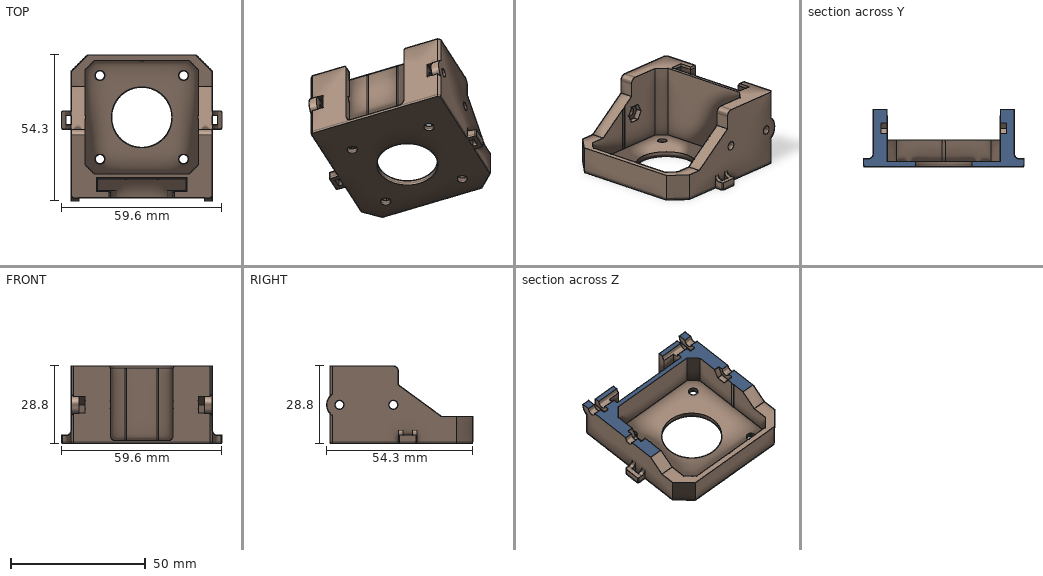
import cadquery as cq
import math


body_width = 52.5
body_back = 23.15
body_front = -29.95
body_height = 28.8
back_wall_height = 10.0
back_corner = 6.0
front_corner = 0.9
slope_back = 11.5
shoulder = -4.5
shoulder_height = 21.7
shoulder_radius = 2.1
base_bevel_height = 0.8
base_bevel_inset = 0.2

pocket_size = 42.1
pocket_corner = 3.45
pocket_floor = 2.0
shaft_opening = 22.3
motor_bolt_pitch = 31.0
motor_bolt_diameter = 3.4
motor_rib_width = 1.2
rib_height = 0.1
rib_taper = 0.7

slot_width = 32.75
slot_back = -22.95
slot_front = -27.1
slot_floor = 1.0
lead_depth = 0.85
lead_side = 0.4
lead_back = 0.6
window_width = 23.3
window_radius = 2.0
window_lead = 0.4
slot_rib_width = 0.6
slot_rib_spacing = 11.95

pin_height = 14.3
pin_diameter = 3.2
rear_pin = -6.4
ear_pin = -26.35
ear_radius = 4.8
ear_thickness = 3.05
nut_flats = 6.0

overall_width = 59.65
loop_back = 2.4
loop_front = -4.5
loop_height = 3.05
loop_bar = 1.8
loop_arm = 1.75
loop_corner = 0.4

half_width = body_width / 2
half_pocket = pocket_size / 2
nut_depth = half_width - ear_thickness - half_pocket


def box(x0, x1, y0, y1, z0, z1):
    return cq.Workplane("XY").box(x1 - x0, y1 - y0, z1 - z0, centered=False).translate((x0, y0, z0))


def x_cylinder(y, radius, x0, x1):
    """Cylinder along X at the pin height."""
    return cq.Workplane("YZ", origin=(x0, y, pin_height)).circle(radius).extrude(x1 - x0)


def both_sides(solid):
    return solid.union(solid.mirror("YZ"))


def plan_prism(corners, height):
    """Upright prism on a plan outline, drawn in slightly at its bottom edge."""
    taper = math.degrees(math.atan2(base_bevel_inset, base_bevel_height))
    start = cq.Workplane("XY", origin=(0, 0, base_bevel_height))
    upper = start.polyline(corners).close().extrude(height - base_bevel_height)
    bevel = start.polyline(corners).close().extrude(-base_bevel_height, taper=taper)
    return upper.union(bevel)


def make_body():
    plan = plan_prism(
        [
            (-half_width + front_corner, body_front),
            (half_width - front_corner, body_front),
            (half_width, body_front + front_corner),
            (half_width, body_back - back_corner),
            (half_width - back_corner, body_back),
            (-half_width + back_corner, body_back),
            (-half_width, body_back - back_corner),
            (-half_width, body_front + front_corner),
        ],
        body_height,
    )
    side_outline = (
        cq.Workplane("YZ", origin=(-half_width, 0, 0))
        .moveTo(body_front, 0)
        .lineTo(body_front, body_height)
        .lineTo(shoulder - shoulder_radius, body_height)
        .radiusArc((shoulder, body_height - shoulder_radius), shoulder_radius)
        .lineTo(shoulder, shoulder_height)
        .lineTo(slope_back, back_wall_height)
        .lineTo(body_back, back_wall_height)
        .lineTo(body_back, 0)
        .close()
        .extrude(body_width)
    )
    return plan.intersect(side_outline)


def make_loop():
    """Strap loop on the +X side: two filleted arms joined by an outer bar."""
    outer = overall_width / 2
    bar_inner = outer - loop_bar
    fillet_top = loop_height + bar_inner - half_width
    root = half_width - 2 * base_bevel_inset
    loop = plan_prism(
        [
            (root, loop_front),
            (outer - loop_corner, loop_front),
            (outer, loop_front + loop_corner),
            (outer, loop_back - loop_corner),
            (outer - loop_corner, loop_back),
            (root, loop_back),
        ],
        loop_height,
    )
    gusset = (
        cq.Workplane("XZ", origin=(0, loop_back, 0))
        .moveTo(half_width, loop_height)
        .lineTo(bar_inner, loop_height)
        .radiusArc((half_width, fillet_top), bar_inner - half_width)
        .close()
        .extrude(loop_back - loop_front)
    )
    window = box(half_width, bar_inner, loop_front + loop_arm, loop_back - loop_arm, 0, body_height)
    return loop.union(gusset).cut(window)


def wall_rib(width, height):
    """Upright rib standing proud of a wall at Y = 0 towards -Y, with a top tapered on three sides."""
    sloped_front = (
        cq.Workplane("YZ", origin=(-width / 2, 0, 0))
        .polyline([(0, 0), (-rib_height, 0), (-rib_height, height - rib_taper), (0, height)])
        .close()
        .extrude(width)
    )
    sloped_ends = (
        cq.Workplane("XZ")
        .polyline([
            (-width / 2, 0),
            (width / 2, 0),
            (width / 2, height - rib_taper),
            (width / 2 - rib_height, height),
            (rib_height - width / 2, height),
            (-width / 2, height - rib_taper),
        ])
        .close()
        .extrude(rib_height)
    )
    return sloped_front.intersect(sloped_ends)


def base_hole(radius):
    """Hole through the motor floor, slightly flared at the underside."""
    flared_radius = radius + base_bevel_inset
    return (
        cq.Workplane("XZ")
        .polyline([
            (0, 0),
            (flared_radius, 0),
            (radius, base_bevel_height),
            (radius, pocket_floor),
            (0, pocket_floor),
        ])
        .close()
        .revolve(360, (0, 0, 0), (0, 1, 0))
    )


def make_motor_pocket():
    pocket = box(-half_pocket, half_pocket, -half_pocket, half_pocket, pocket_floor, body_height)
    pocket = pocket.edges("|Z").chamfer(pocket_corner)
    back_rib = wall_rib(motor_rib_width, back_wall_height - pocket_floor)
    pocket = pocket.cut(back_rib.translate((0, half_pocket, pocket_floor)))
    side_rib = wall_rib(motor_rib_width, body_height - pocket_floor)
    side_rib = side_rib.rotate((0, 0, 0), (0, 0, 1), -90).translate((half_pocket, 0, pocket_floor))
    pocket = pocket.cut(both_sides(side_rib)).union(base_hole(shaft_opening / 2))
    for x in (-motor_bolt_pitch / 2, motor_bolt_pitch / 2):
        for y in (-motor_bolt_pitch / 2, motor_bolt_pitch / 2):
            pocket = pocket.union(base_hole(motor_bolt_diameter / 2).translate((x, y, 0)))
    return pocket


def make_slot():
    half_slot = slot_width / 2
    slot = box(-half_slot, half_slot, slot_front, slot_back, slot_floor, body_height)
    slot_middle = (slot_front + slot_back) / 2
    lead_in = (
        cq.Workplane("XY", origin=(0, slot_middle, body_height - lead_depth))
        .rect(slot_width, slot_back - slot_front)
        .workplane(offset=lead_depth)
        .center(0, (lead_back - lead_side) / 2)
        .rect(slot_width + 2 * lead_side, slot_back - slot_front + lead_back + lead_side)
        .loft(ruled=True)
    )
    half_window = window_width / 2
    window = box(-half_window, half_window, body_front, slot_back, slot_floor, body_height)
    window = window.edges("|Y and <Z").fillet(window_radius)
    window_lead_in = (
        cq.Workplane("XZ", origin=(0, slot_front, 0))
        .polyline([
            (-half_window, body_height - lead_depth),
            (half_window, body_height - lead_depth),
            (half_window + window_lead, body_height),
            (-half_window - window_lead, body_height),
        ])
        .close()
        .extrude(slot_front - body_front)
    )
    slot = slot.union(window.intersect(box(-half_window, half_window, body_front, slot_front, 0, body_height)))
    rib = wall_rib(slot_rib_width, body_height - lead_depth - slot_floor)
    for x in (-slot_rib_spacing / 2, slot_rib_spacing / 2):
        slot = slot.cut(rib.translate((x, slot_back, slot_floor)))
    return slot.union(lead_in).union(window_lead_in)


def make_nut_trap(y):
    """Hexagonal recess on the +X side, flat above and below."""
    return (
        cq.Workplane("YZ", origin=(half_pocket, y, pin_height))
        .polygon(6, nut_flats / math.cos(math.pi / 6))
        .extrude(nut_depth)
    )


def make_ear_nut_trap():
    """Nut trap beside the ear, open to the front."""
    entry = box(
        half_pocket, half_pocket + nut_depth, body_front, ear_pin,
        pin_height - nut_flats / 2, pin_height + nut_flats / 2,
    )
    return make_nut_trap(ear_pin).union(entry)


ear = x_cylinder(ear_pin, ear_radius, half_width - ear_thickness, half_width)

result = make_body().union(both_sides(ear)).union(both_sides(make_loop()))
result = result.cut(make_motor_pocket()).cut(make_slot())
result = result.cut(both_sides(make_nut_trap(rear_pin))).cut(both_sides(make_ear_nut_trap()))
for pin in (rear_pin, ear_pin):
    result = result.cut(x_cylinder(pin, pin_diameter / 2, -half_width, half_width))